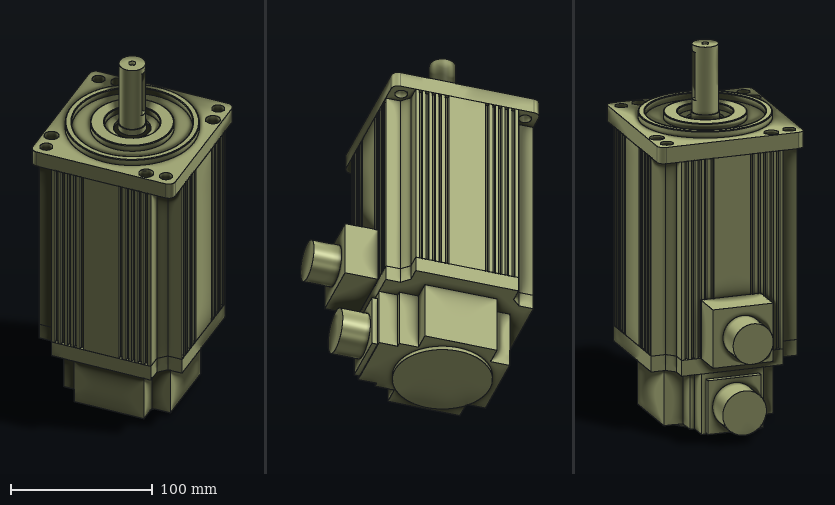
import cadquery as cq

shaft_top = 55.0
pilot_height = 5.0
recess_depth = 5.0
flange_thickness = 12.0
stator_length = 147.1
rear_plate_thickness = 11.8
cover_length = 45.0
disc_thickness = 3.0
stator_top = -flange_thickness
stator_bottom = stator_top - stator_length
cover_top = stator_bottom - rear_plate_thickness
cover_bottom = cover_top - cover_length
recess_floor = pilot_height - recess_depth

frame_width = 110.0
frame_half = frame_width / 2
flange_corner_radius = 5.2
pilot_radius = 47.5
ring_recess_radius = 42.7
boss_radius = 29.5
boss_recess_radius = 19.7
shaft_clearance_radius = 13.2
rim_chamfer = 0.5
floor_thickness = 2.0

bore_radius = 52.0

mounting_hole_offset = 46.0
mounting_hole_radius = 4.52

screw_near_offset = 31.8
screw_far_offset = 48.2
counterbore_radius = 5.2
counterbore_depth = 8.2
screw_hole_radius = 2.7

shaft_diameter = 19.0
shaft_radius = shaft_diameter / 2
shoulder_radius = 10.1
centre_hole_radius = 2.5
centre_hole_depth = 3.0
keyway_width = 6.0
keyway_depth = 3.5
keyway_length = 35.5
keyway_top_gap = 5.0

notch_depth = 16.7
notch_flat = 10.82

groove_depth = 2.7
groove_width = 2.5
groove_pitch = 4.88
outer_groove_start = 33.2
regular_groove_count = 3
inner_grooves = [(13.7, 16.2), (19.2, 21.0)]

cover_half = 41.0
cover_notch = 14.2
cover_block_width = 46.5
disc_radius = 35.3

power_offset_x = 1.23
power_box_width = 45.2
power_box_depth = 24.7
power_box_height = 43.3
power_plug_radius = 15.0
power_plug_length = 20.5

encoder_plate_width = 40.0
encoder_plate_thickness = 4.0
encoder_plug_radius = 16.5
encoder_plug_length = 20.5
encoder_plug_drop = 24.0
encoder_plug_z = cover_top - encoder_plug_drop


def upright_cylinder(radius, bottom, top, x=0, y=0):
    return cq.Workplane("XY", origin=(x, y, bottom)).circle(radius).extrude(top - bottom)


def rearward_cylinder(radius, x, y, z, length):
    """Cylinder that starts at y and runs in the +Y direction."""
    return cq.Workplane("XZ", origin=(x, y, z)).circle(radius).extrude(-length)


def block(x_range, y_range, z_range):
    (x0, x1), (y0, y1), (z0, z1) = x_range, y_range, z_range
    return cq.Workplane("XY").box(x1 - x0, y1 - y0, z1 - z0, centered=False).translate((x0, y0, z0))


def four_turns(body):
    """The four copies of a tool, a quarter turn apart about the shaft axis."""
    return [body.rotate((0, 0, 0), (0, 0, 1), 90 * turn) for turn in range(4)]


def make_shaft():
    """Keyed shaft with a slightly wider shoulder that ends level with the recess floor."""
    shaft = upright_cylinder(shaft_radius, pilot_height, shaft_top)
    shaft = shaft.union(upright_cylinder(shoulder_radius, recess_floor, pilot_height))
    centre_hole = cq.Solid.makeCone(
        centre_hole_radius, 0, centre_hole_depth, pnt=(0, 0, shaft_top), dir=(0, 0, -1)
    )
    keyway_z = shaft_top - keyway_top_gap - keyway_length / 2
    keyway = (
        cq.Workplane("YZ", origin=(shaft_radius - keyway_depth, 0, keyway_z))
        .rect(keyway_width, keyway_length)
        .extrude(2 * keyway_depth)
    )
    return shaft.cut(cq.Workplane(centre_hole)).cut(keyway)


def make_flange():
    """Square flange with a recessed pilot and a ring boss around the shaft opening."""
    flange = (
        cq.Workplane("XY", origin=(0, 0, stator_top))
        .rect(frame_width, frame_width)
        .extrude(flange_thickness)
        .edges("|Z")
        .fillet(flange_corner_radius)
    )
    flange = flange.union(upright_cylinder(pilot_radius, 0, pilot_height))
    flange = flange.cut(upright_cylinder(ring_recess_radius, recess_floor, pilot_height))
    flange = flange.union(upright_cylinder(boss_radius, recess_floor, pilot_height))
    flange = flange.cut(upright_cylinder(boss_recess_radius, recess_floor, pilot_height))
    flange = flange.faces(">Z").edges().chamfer(rim_chamfer)
    flange = flange.cut(upright_cylinder(bore_radius, stator_top, recess_floor - floor_thickness))
    flange = flange.cut(upright_cylinder(shaft_clearance_radius, stator_top, pilot_height))

    mounting_hole = upright_cylinder(
        mounting_hole_radius, stator_top, 0, mounting_hole_offset, mounting_hole_offset
    )
    screw_hole = upright_cylinder(
        screw_hole_radius, stator_top, 0, screw_far_offset, screw_near_offset
    )
    counterbore = upright_cylinder(
        counterbore_radius, -counterbore_depth, 0, screw_far_offset, screw_near_offset
    )
    for tool in (mounting_hole, screw_hole, counterbore):
        for hole in four_turns(tool):
            flange = flange.cut(hole)
    return flange


def notched_frame(bottom, top):
    """Square block whose four corners are notched, with a slanted face inside each notch."""
    frame = cq.Workplane("XY", origin=(0, 0, bottom)).rect(frame_width, frame_width).extrude(top - bottom)
    deep = frame_half - notch_depth
    shallow = frame_half - notch_flat
    notch = (
        cq.Workplane("XY", origin=(0, 0, bottom))
        .polyline(
            [
                (frame_half, frame_half),
                (deep, frame_half),
                (deep, shallow),
                (shallow, deep),
                (frame_half, deep),
            ]
        )
        .close()
        .extrude(top - bottom)
    )
    for corner in four_turns(notch):
        frame = frame.cut(corner)
    return frame


def make_stator():
    """Notched tube with cooling grooves along its four sides."""
    stator = notched_frame(stator_bottom, stator_top)
    groove_edges = list(inner_grooves)
    for index in range(regular_groove_count):
        start = outer_groove_start - index * groove_pitch
        groove_edges.append((start, start + groove_width))
    for start, end in groove_edges:
        for edges in ((start, end), (-end, -start)):
            groove = block(edges, (frame_half - groove_depth, frame_half), (stator_bottom, stator_top))
            for side in four_turns(groove):
                stator = stator.cut(side)
    return stator.cut(upright_cylinder(bore_radius, stator_bottom, stator_top))


def make_rear_plate():
    """Closing plate with the outline of the stator."""
    return notched_frame(cover_top, stator_bottom)


def make_encoder_cover():
    """Notched cover with a connector block behind it and a round disc underneath."""
    height = (cover_bottom, cover_top)
    cover = block((-cover_half, cover_half), (-cover_half, cover_half), height)
    notch_start = cover_half - cover_notch
    notch = block((notch_start, cover_half), (notch_start, cover_half), height)
    for corner in four_turns(notch):
        cover = cover.cut(corner)
    cover = cover.union(
        block((-cover_block_width / 2, cover_block_width / 2), (0, frame_half), height)
    )
    return cover.union(upright_cylinder(disc_radius, cover_bottom - disc_thickness, cover_bottom))


def make_power_connector():
    """Box on the back of the stator, level with its lower end, with a round plug."""
    box_back = frame_half + power_box_depth
    box = block(
        (power_offset_x - power_box_width / 2, power_offset_x + power_box_width / 2),
        (frame_half, box_back),
        (stator_bottom, stator_bottom + power_box_height),
    )
    plug_z = stator_bottom + power_box_height / 2
    return box.union(
        rearward_cylinder(power_plug_radius, power_offset_x, box_back, plug_z, power_plug_length)
    )


def make_encoder_connector():
    """Square plate on the connector block of the cover, with a round plug."""
    half = encoder_plate_width / 2
    plate_back = frame_half + encoder_plate_thickness
    plate = block(
        (-half, half), (frame_half, plate_back), (encoder_plug_z - half, encoder_plug_z + half)
    )
    return plate.union(
        rearward_cylinder(encoder_plug_radius, 0, plate_back, encoder_plug_z, encoder_plug_length)
    )


shaft = make_shaft()
flange = make_flange()
stator = make_stator()
rear_plate = make_rear_plate()
encoder_cover = make_encoder_cover()
power_connector = make_power_connector()
encoder_connector = make_encoder_connector()

result = cq.Compound.makeCompound(
    [
        shaft.val(),
        flange.val(),
        stator.val(),
        rear_plate.val(),
        encoder_cover.val(),
        power_connector.val(),
        encoder_connector.val(),
    ]
)